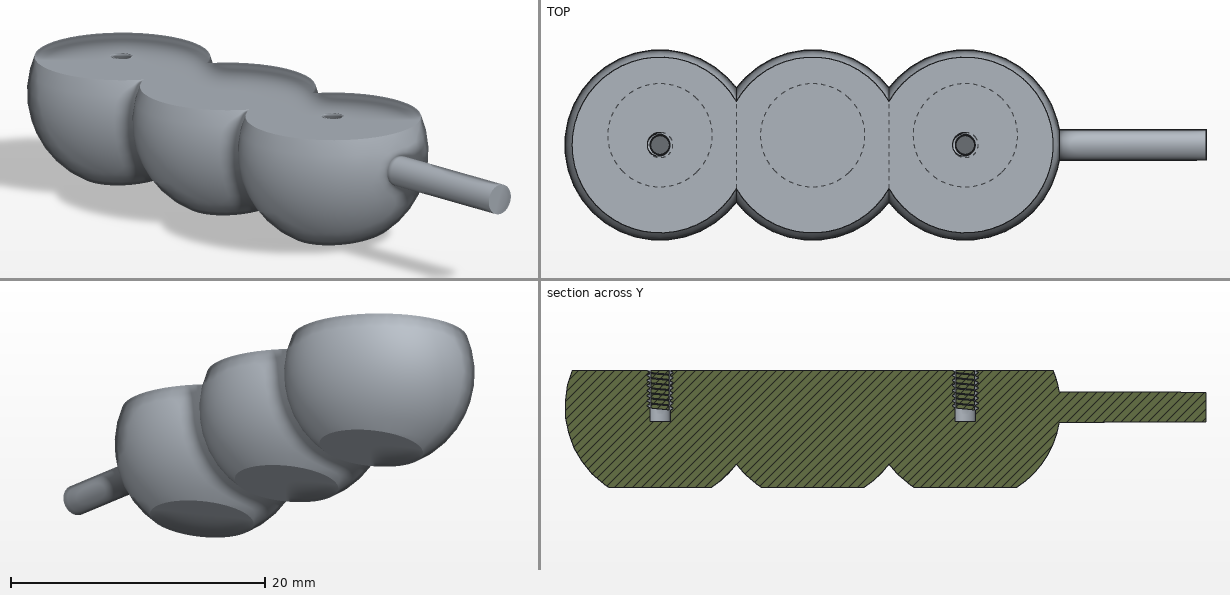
import cadquery as cq
import math

ball_radius = 7.5
ball_pitch = 12.0
ball_count = 3
row_length = ball_pitch * (ball_count - 1)

facet_diameter = 8.2
facet_tilt = 7.0
facet_half_angle = math.asin(facet_diameter / 2 / ball_radius)
facet_distance = ball_radius * math.cos(facet_half_angle)
lowest_z = -ball_radius * math.cos(facet_half_angle - math.radians(facet_tilt))

overall_height = 9.65
top_height = lowest_z + overall_height

stem_diameter = 2.4
overall_length = 50.45
stem_end = overall_length - ball_radius

bore_diameter = 1.57
bore_depth = 4.0
thread_major_diameter = 2.0
thread_pitch = 0.4
thread_length = 3.2
thread_root_width = thread_pitch / 8
thread_flank_angle = math.radians(30)
thread_overlap = 0.05

cutter_length = 2 * row_length
cutter_size = 4 * ball_radius


def cutter_block(bottom_z):
    """Block longer and wider than the row, resting on the given height."""
    block = cq.Workplane("XY").box(cutter_length, cutter_size, cutter_size, centered=(True, True, False))
    return block.translate((row_length / 2, 0, bottom_z))


def ball_row():
    """Merged balls with the flat top and the tilted underside facets."""
    row = cq.Workplane("XY").sphere(ball_radius)
    for i in range(1, ball_count):
        ball = cq.Workplane("XY").sphere(ball_radius)
        row = row.union(ball.translate((i * ball_pitch, 0, 0)))
    above = cutter_block(top_height)
    below = cutter_block(-facet_distance - cutter_size)
    below = below.rotate((0, 0, 0), (1, 0, 0), facet_tilt)
    return row.cut(above).cut(below)


def stem():
    start = cq.Workplane("YZ", origin=(row_length, 0, 0))
    return start.circle(stem_diameter / 2).extrude(stem_end - row_length)


def thread_cutter():
    """Helical V-groove running up from z = 0, its profile starting on -X."""
    inner_radius = bore_diameter / 2 - thread_overlap
    major_radius = thread_major_diameter / 2
    root = thread_root_width / 2
    mouth = root + (major_radius - inner_radius) * math.tan(thread_flank_angle)
    helix = cq.Wire.makeHelix(thread_pitch, thread_length + thread_pitch, bore_diameter / 2)
    profile = cq.Workplane("XZ").polyline(
        [
            (inner_radius, -mouth),
            (major_radius, -root),
            (major_radius, root),
            (inner_radius, mouth),
        ]
    )
    groove = profile.close().sweep(cq.Workplane(helix), isFrenet=True)
    return groove.rotate((0, 0, 0), (0, 0, 1), 180)


def threaded_hole(x):
    """Groove and bore of one threaded hole, in the order they are cut."""
    bore = cq.Workplane("XY", origin=(x, 0, top_height)).circle(bore_diameter / 2).extrude(-bore_depth)
    groove = thread_cutter().translate((x, 0, top_height - thread_length))
    return groove, bore


body = ball_row().union(stem())
for hole_x in (0, row_length):
    for cutter in threaded_hole(hole_x):
        body = body.cut(cutter)

result = cq.Workplane(body.solids().val())